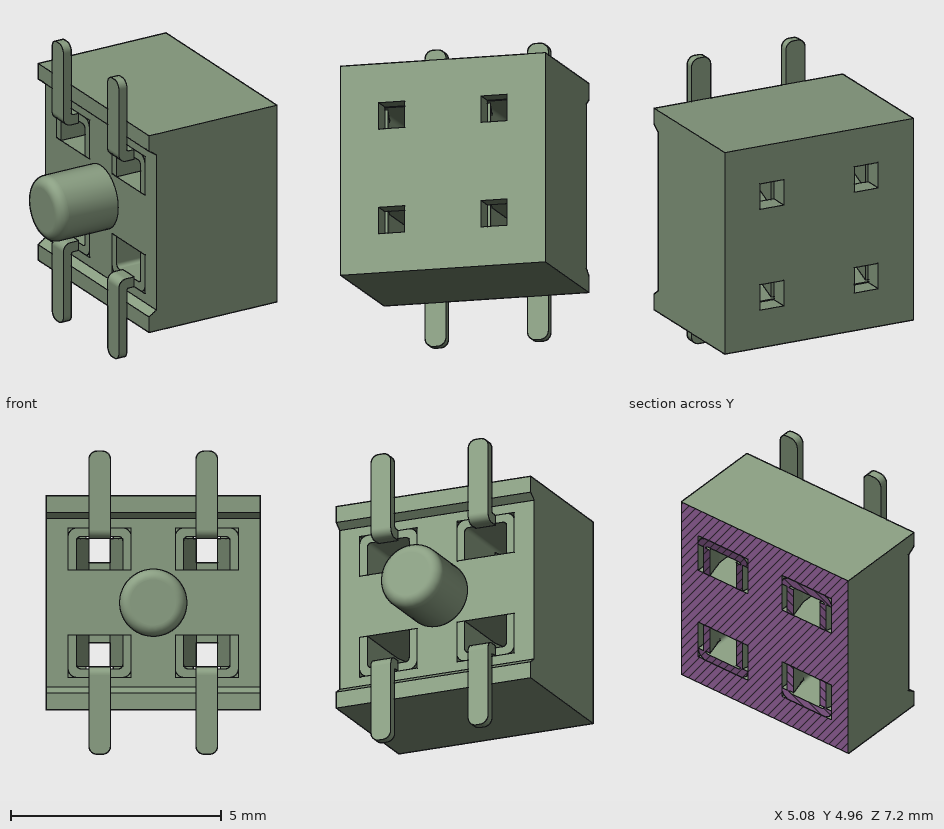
import cadquery as cq
import math

HOUSING_SIDE = 5.08
HOUSING_DEPTH = 3.55
RECESS_DEPTH = 0.2
RECESS_FLOOR_HALF = 2.0
RECESS_MOUTH_HALF = 2.14

PEG_DIAMETER = 1.6
PEG_REACH = 1.405
PEG_ROUND = 0.25

PITCH = HOUSING_SIDE / 2
POCKET_WIDTH = 1.5
POCKET_HEIGHT = 1.0
BACK_WALL = 0.505
PIN_HOLE = 0.64
POCKET_DEPTH = HOUSING_DEPTH - RECESS_DEPTH - BACK_WALL

SHEET = 0.2
OUTER_BEND = 0.2
INNER_BEND = 0.1
FINGER_ANGLE = 15.0
FINGER_GAP = 0.5
FINGER_SLIT = 0.05

LEG_WIDTH = 0.52
LEG_THICKNESS = 0.22
LEG_STUB_THICKNESS = SHEET + FINGER_SLIT
LEG_TIP = 3.6
LEG_TIP_ROUND = 0.2
LEG_OUTER_BEND = 0.2
LEG_INNER_BEND = 0.05

COLUMN = PITCH / 2
ROW = PITCH / 2
POCKET_OUTER_Z = ROW + POCKET_HEIGHT / 2
POCKET_INNER_Z = ROW - POCKET_HEIGHT / 2
POCKET_FLOOR_Y = RECESS_DEPTH + POCKET_DEPTH
INNER_HALF_WIDTH = POCKET_WIDTH / 2 - SHEET
FINGER_LEAN = INNER_HALF_WIDTH - FINGER_GAP / 2
FINGER_LENGTH = FINGER_LEAN / math.tan(math.radians(FINGER_ANGLE))
FINGER_ROOT_Y = POCKET_FLOOR_Y - FINGER_LENGTH


def box(x_range, y_range, z_range):
    """Box between the given limits along each axis."""
    size = [end - start for start, end in (x_range, y_range, z_range)]
    corner = (x_range[0], y_range[0], z_range[0])
    return cq.Workplane("XY").box(*size, centered=False).translate(corner)


def make_housing():
    """Block with a sloped-edge recess, contact pockets, pin holes and a peg."""
    half = HOUSING_SIDE / 2
    outline = [
        (0, half),
        (HOUSING_DEPTH, half),
        (HOUSING_DEPTH, -half),
        (0, -half),
        (0, -RECESS_MOUTH_HALF),
        (RECESS_DEPTH, -RECESS_FLOOR_HALF),
        (RECESS_DEPTH, RECESS_FLOOR_HALF),
        (0, RECESS_MOUTH_HALF),
    ]
    block = cq.Workplane("YZ").polyline(outline).close().extrude(half, both=True)

    grid = cq.Workplane("XZ").rarray(PITCH, PITCH, 2, 2)
    pockets = grid.rect(POCKET_WIDTH, POCKET_HEIGHT).extrude(-POCKET_FLOOR_Y)
    pin_holes = grid.rect(PIN_HOLE, PIN_HOLE).extrude(-HOUSING_DEPTH)

    peg = (
        cq.Workplane("XZ", origin=(0, RECESS_DEPTH, 0))
        .circle(PEG_DIAMETER / 2)
        .extrude(RECESS_DEPTH + PEG_REACH)
        .faces("<Y")
        .edges()
        .fillet(PEG_ROUND)
    )
    return block.cut(pockets).cut(pin_holes).union(peg)


def make_contact_box():
    """U-bent sheet, open towards the grid centre, whose arms stop at the finger roots."""
    y_range = (RECESS_DEPTH, POCKET_FLOOR_Y)
    outer_half = POCKET_WIDTH / 2
    outside = box((-outer_half, outer_half), y_range, (POCKET_INNER_Z, POCKET_OUTER_Z))
    outside = outside.edges("|Y and >Z").fillet(OUTER_BEND)
    inside = box(
        (-INNER_HALF_WIDTH, INNER_HALF_WIDTH), y_range, (POCKET_INNER_Z, POCKET_OUTER_Z - SHEET)
    )
    inside = inside.edges("|Y and >Z").fillet(INNER_BEND)
    finger_room = box(
        (-outer_half, outer_half),
        (FINGER_ROOT_Y, POCKET_FLOOR_Y),
        (POCKET_INNER_Z, POCKET_OUTER_Z - LEG_STUB_THICKNESS),
    )
    return outside.cut(inside).cut(finger_room)


def make_finger():
    """Spring finger on the +X arm, leaning towards the pin axis."""
    outline = [
        (INNER_HALF_WIDTH, FINGER_ROOT_Y),
        (INNER_HALF_WIDTH + SHEET, FINGER_ROOT_Y),
        (INNER_HALF_WIDTH + SHEET - FINGER_LEAN, POCKET_FLOOR_Y),
        (INNER_HALF_WIDTH - FINGER_LEAN, POCKET_FLOOR_Y),
    ]
    height = POCKET_HEIGHT - LEG_STUB_THICKNESS
    return cq.Workplane("XY", origin=(0, 0, POCKET_INNER_Z)).polyline(outline).close().extrude(height)


def make_leg():
    """L-shaped leg: a stub out of the contact box, then a strip along the housing front."""
    stub_inner_z = POCKET_OUTER_Z - LEG_STUB_THICKNESS
    half = LEG_WIDTH / 2
    stub = box((-half, half), (-LEG_THICKNESS, RECESS_DEPTH), (stub_inner_z, POCKET_OUTER_Z))
    strip = box((-half, half), (-LEG_THICKNESS, 0), (stub_inner_z, LEG_TIP))
    strip = strip.edges("|Y and >Z").fillet(LEG_TIP_ROUND)
    leg = stub.union(strip)
    leg = leg.edges("|X and <Y and <Z").fillet(LEG_OUTER_BEND)
    inner_corner = cq.selectors.NearestToPointSelector((0, 0, POCKET_OUTER_Z))
    return leg.edges("|X").edges(inner_corner).fillet(LEG_INNER_BEND)


def make_contact():
    """Complete contact of the upper row, centred on X = 0."""
    finger = make_finger()
    contact = make_contact_box().union(finger).union(finger.mirror("YZ"))
    return contact.union(make_leg())


housing = make_housing()
upper_contact = make_contact()
lower_contact = upper_contact.mirror("XY")
contacts = [
    contact.translate((x, 0, 0)).solids().val()
    for contact in (upper_contact, lower_contact)
    for x in (-COLUMN, COLUMN)
]

result = cq.Compound.makeCompound([housing.solids().val(), *contacts])